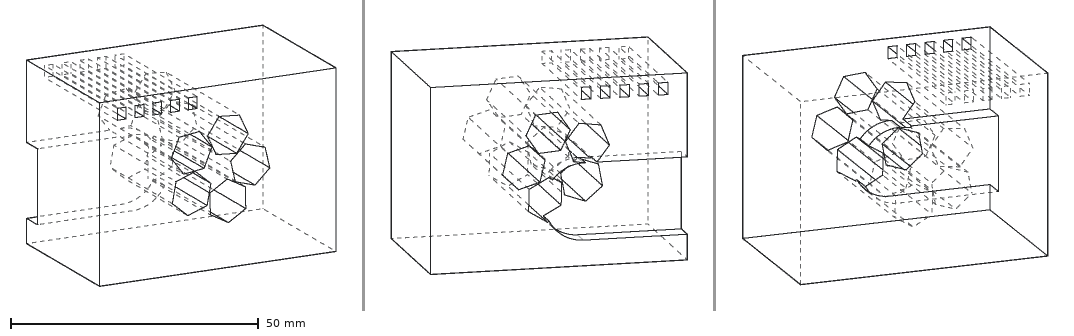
import cadquery as cq

width = 32.9
length = 53.4
height = 38.75

slot_depth = 4.9
slot_width = 16.0
slot_center_z = 13.35
slot_arc_center_y = 21.65

hex_count = 5
hex_diameter = 9.25
hex_ring_radius = 7.3
hex_ring_y = length / 2
hex_ring_z = 21.05
hex_tilt = -16.5

window_count = 5
window_length = 2.0
window_height = 2.5
window_pitch = 4.0
first_window_y = 5.0
window_z = 35.8


def side_plane(y, z):
    """Workplane on the -X face, local x along Y and local y along Z."""
    return cq.Workplane("YZ", origin=(0, y, z))


def make_slot():
    radius = slot_width / 2
    return (
        side_plane(0, slot_center_z)
        .moveTo(0, -radius)
        .lineTo(slot_arc_center_y, -radius)
        .threePointArc((slot_arc_center_y + radius, 0), (slot_arc_center_y, radius))
        .lineTo(0, radius)
        .close()
        .extrude(slot_depth)
    )


def make_hexagons():
    prism = (
        cq.Workplane("XY")
        .polygon(6, hex_diameter)
        .extrude(width)
        .rotate((0, 0, 0), (0, 0, 1), hex_tilt)
        .val()
    )
    return (
        side_plane(hex_ring_y, hex_ring_z)
        .polarArray(hex_ring_radius, 0, 360, hex_count)
        .eachpoint(prism, useLocalCoordinates=True)
    )


def make_windows():
    row_center_y = first_window_y + (window_count - 1) * window_pitch / 2
    return (
        side_plane(row_center_y, window_z)
        .rarray(window_pitch, 0.55, window_count, 1)
        .rect(window_length, window_height)
        .extrude(width)
    )


block = cq.Workplane("XY").box(width, length, height, centered=False)
result = block.cut(make_slot()).cut(make_hexagons()).cut(make_windows())